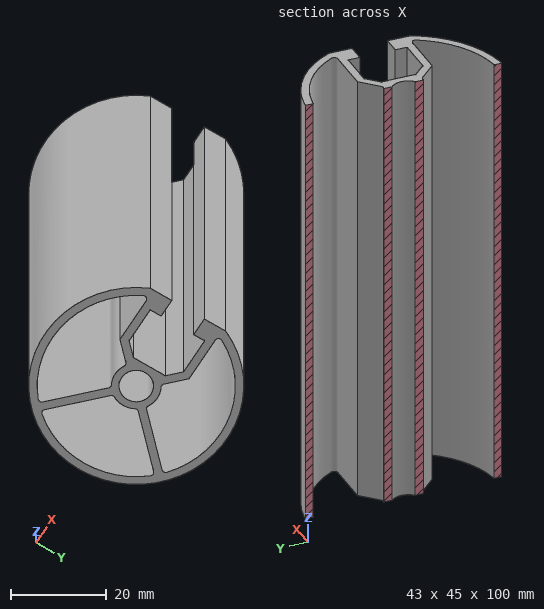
import cadquery as cq
import math

length = 100.0
outer_radius = 22.5
wall = 1.8
flat_x = 20.5
hub_radius = 5.2
bore_diameter = 7.2
channel_half_width = 6.7
channel_floor_x = 5.2
mouth_half_width = 4.0
lip_thickness = 4.2
corner_fillet = 0.8

inner_radius = outer_radius - wall
channel_outer_half = channel_half_width + wall
web_offset = wall / math.sqrt(2)
lip_x = flat_x - lip_thickness


def mirrored_prism(upper_points):
    """Extrude the outline made of the given points and their mirror images about X."""
    lower_points = [(x, -y) for x, y in reversed(upper_points)]
    return cq.Workplane("XY").polyline(upper_points + lower_points).close().extrude(length)


def cylinder(radius):
    return cq.Workplane("XY").circle(radius).extrude(length)


def diagonal_rib(angle):
    """Rib running from the axis out to the rim."""
    return (
        cq.Workplane("XY")
        .transformed(rotate=(0, 0, angle))
        .center(outer_radius / 2, 0)
        .rect(outer_radius, wall)
        .extrude(length)
    )


def hollow_pockets():
    """The three voids between the rim, the hub, the ribs and the channel walls."""
    channel_body = mirrored_prism([
        (0, web_offset),
        (channel_outer_half - web_offset, channel_outer_half),
        (outer_radius, channel_outer_half),
    ])
    voids = cylinder(inner_radius).cut(cylinder(hub_radius)).cut(channel_body)
    for angle in (135, 225):
        voids = voids.cut(diagonal_rib(angle))

    for radius in (inner_radius, hub_radius):
        corners = [
            edge for edge in voids.edges("|Z").vals()
            if math.isclose(math.hypot(edge.Center().x, edge.Center().y), radius, abs_tol=0.001)
        ]
        voids = voids.newObject(corners).fillet(corner_fillet)
    return voids


def slot_channel():
    """Open channel with a chamfered floor and a mouth narrowed by two lips."""
    return mirrored_prism([
        (channel_floor_x, channel_floor_x - web_offset),
        (channel_half_width + web_offset, channel_half_width),
        (lip_x, channel_half_width),
        (lip_x, mouth_half_width),
        (outer_radius, mouth_half_width),
    ])


def body_blank():
    """Round bar with one side cut flat."""
    beyond_flat = cq.Workplane("XY").box(
        outer_radius, 2 * outer_radius, length, centered=(False, True, False)
    ).translate((flat_x, 0, 0))
    return cylinder(outer_radius).cut(beyond_flat)


result = (
    body_blank()
    .cut(hollow_pockets())
    .cut(slot_channel())
    .cut(cylinder(bore_diameter / 2))
)